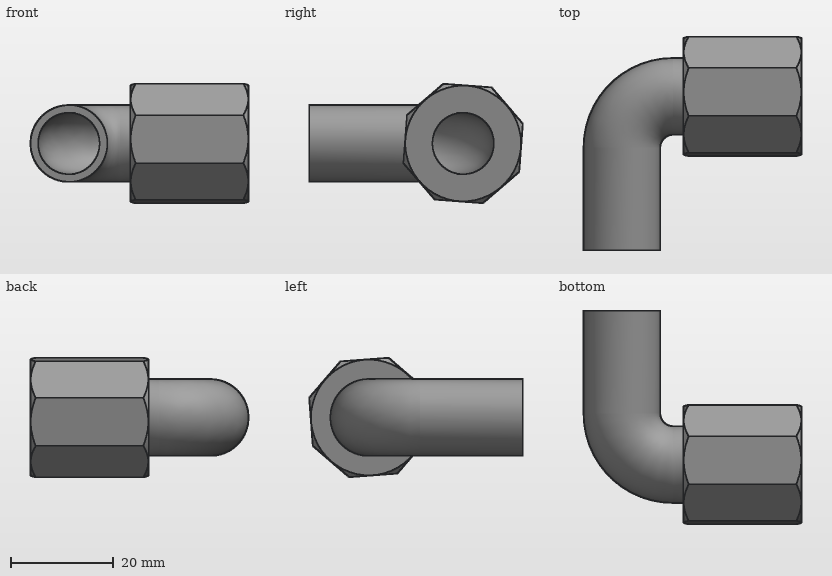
import cadquery as cq
import math

tube_diameter = 15.0
bore_diameter = 12.0
bend_radius = 10.0
leg_length = 20.0
stub_length = 2.0

overall_length = 42.5
nut_sides = 8
nut_across_flats = 22.65
nut_turn = 18.2
nut_face_diameter = 22.52
chamfer_length = 1.0

nut_across_corners = nut_across_flats / math.cos(math.pi / nut_sides)
leg_x = -bend_radius
leg_end_y = -bend_radius - leg_length
nut_start = stub_length
nut_end = overall_length + leg_x - tube_diameter / 2
nut_length = nut_end - nut_start


def swept_rod(diameter, end_x):
    """Round rod following the elbow centreline from the leg end to end_x."""
    bend_middle = (
        -bend_radius * math.sin(math.pi / 4),
        -bend_radius * (1 - math.cos(math.pi / 4)),
    )
    centreline = (
        cq.Workplane("XY")
        .moveTo(leg_x, leg_end_y)
        .lineTo(leg_x, -bend_radius)
        .threePointArc(bend_middle, (0, 0))
        .lineTo(end_x, 0)
    )
    section = cq.Workplane("XZ", origin=(leg_x, leg_end_y, 0)).circle(diameter / 2)
    return section.sweep(centreline)


def chamfered_nut():
    """Octagonal prism with its corners turned down to a cone at both ends."""
    prism = (
        cq.Workplane("YZ", origin=(nut_start, 0, 0))
        .polygon(nut_sides, nut_across_corners)
        .extrude(nut_length)
        .rotate((0, 0, 0), (1, 0, 0), nut_turn)
    )
    face_radius = nut_face_diameter / 2
    corner_radius = nut_across_corners / 2
    turned_envelope = (
        cq.Workplane("XY")
        .polyline([
            (nut_start, 0),
            (nut_start, face_radius),
            (nut_start + chamfer_length, corner_radius),
            (nut_end - chamfer_length, corner_radius),
            (nut_end, face_radius),
            (nut_end, 0),
        ])
        .close()
        .revolve(360, (0, 0, 0), (1, 0, 0))
    )
    return prism.intersect(turned_envelope)


elbow = swept_rod(tube_diameter, nut_start)
result = elbow.union(chamfered_nut()).cut(swept_rod(bore_diameter, nut_end))